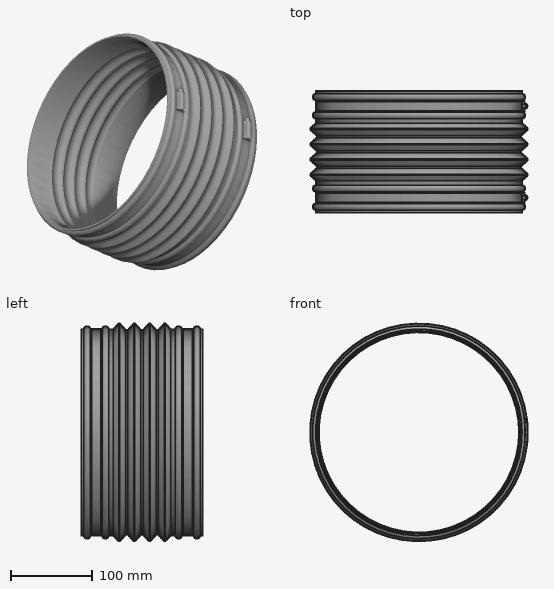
import cadquery as cq

sleeve_length = 150.0
bore_radius = 125.0
cuff_wall = 2.0
cuff_radius = bore_radius + cuff_wall

overlap = 0.5
seat_radius = cuff_radius - overlap

fold_count = 4
bellows_length = sleeve_length / 2
pitch = bellows_length / fold_count
crest_radius = 134.0
valley_radius = 126.0
crest_half_width = 0.7
valley_half_width = 1.3
bellows_wall = 3.0

bead_half_width = 4.0
bead_height = 3.8
bead_insets = (7.5, 30.0)

clamp_inset = sum(bead_insets) / len(bead_insets)
band_width = 11.0
band_thickness = 0.3

plate_width = 12.4
plate_height = 23.4
plate_inner = bore_radius + overlap
plate_outer = 130.2
housing_radius = 3.1
housing_center = 130.5
head_radius = 2.6
head_center = 129.1
head_length = 5.2


def spin(profile):
    """Full turn of a closed XY profile around the Y axis."""
    return profile.revolve(360, (0, 0, 0), (0, 1, 0))


def ring(inner, outer, y_start, y_end):
    """Plain ring around the Y axis."""
    profile = cq.Workplane("XY").moveTo((inner + outer) / 2, (y_start + y_end) / 2)
    return spin(profile.rect(outer - inner, y_end - y_start))


def folded_line(end_radius, valley, crest):
    """Points along one side of the wall, from end to end: straight, folded, straight."""
    slope = (pitch / 2 - crest_half_width - valley_half_width) / (crest_radius - valley_radius)
    end_offset = crest_half_width + slope * (crest - end_radius)
    valley_offset = pitch / 2 - valley_half_width
    first_crest = -(fold_count - 1) * pitch / 2
    last_crest = -first_crest

    points = [(end_radius, -sleeve_length / 2), (end_radius, first_crest - end_offset)]
    for fold in range(fold_count):
        y = first_crest + fold * pitch
        if fold > 0:
            points.append((valley, y - valley_offset))
        points.append((crest, y - crest_half_width))
        points.append((crest, y + crest_half_width))
        if fold < fold_count - 1:
            points.append((valley, y + valley_offset))
    points.append((end_radius, last_crest + end_offset))
    points.append((end_radius, sleeve_length / 2))
    return points


def make_sleeve():
    """Two plain cuffs joined by the bellows; inner flanks run parallel to the outer ones."""
    outer = folded_line(cuff_radius, valley_radius, crest_radius)
    inner = folded_line(bore_radius, valley_radius - bellows_wall, crest_radius - bellows_wall)
    profile = cq.Workplane("XY").polyline(outer + inner[::-1]).close()
    return spin(profile)


def make_bead(y):
    """Half-round bead standing on the cuff."""
    profile = (
        cq.Workplane("XY")
        .moveTo(seat_radius, y - bead_half_width)
        .lineTo(cuff_radius, y - bead_half_width)
        .threePointArc((cuff_radius + bead_height, y), (cuff_radius, y + bead_half_width))
        .lineTo(seat_radius, y + bead_half_width)
        .close()
    )
    return spin(profile)


def make_clamp(y):
    """Band with its screw housing and screw head."""
    band = ring(seat_radius, cuff_radius + band_thickness, y - band_width / 2, y + band_width / 2)
    plate = cq.Workplane("XY").box(plate_outer - plate_inner, plate_width, plate_height)
    plate = plate.translate(((plate_outer + plate_inner) / 2, y, 0))
    housing = cq.Workplane("XY", origin=(housing_center, y, -plate_height / 2))
    housing = housing.circle(housing_radius).extrude(plate_height)
    head = cq.Workplane("XY", origin=(head_center, y, plate_height / 2))
    head = head.circle(head_radius).extrude(head_length)
    seat = cq.Workplane("XZ").circle(seat_radius).extrude(sleeve_length, both=True)
    return band.union(plate).union(housing).union(head).cut(seat)


result = make_sleeve()
for side in (-1, 1):
    end = side * sleeve_length / 2
    for inset in bead_insets:
        result = result.union(make_bead(end - side * inset))
    result = result.union(make_clamp(end - side * clamp_inset))